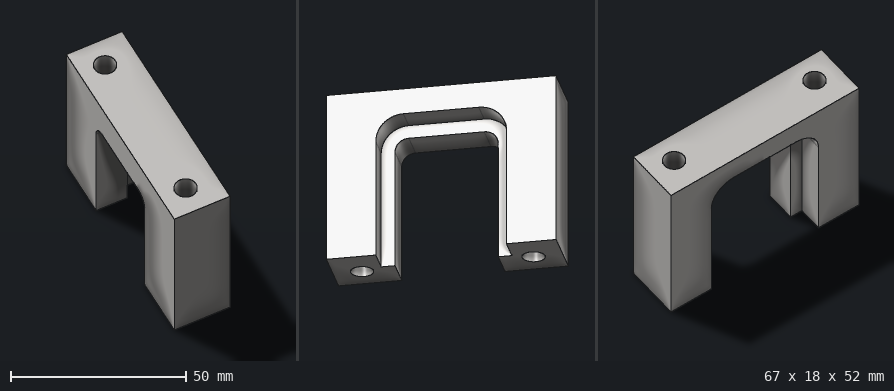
import cadquery as cq

width = 67.0
depth = 18.0
height = 52.0

opening_width = 30.0
bridge_thickness = 12.0
corner_radius = 4.0

rebate_margin = 4.0
rebate_depth = 8.0

hole_diameter = 6.6
hole_spacing = 50.0
hole_y = -0.95

opening_height = height - bridge_thickness


def arch_cutter(margin, y_start, y_end):
    """Open-bottomed arch, enlarged by margin, between two Y positions."""
    cutter_width = opening_width + 2 * margin
    cutter_height = opening_height + margin
    return (
        cq.Workplane("XY")
        .box(cutter_width, y_end - y_start, cutter_height, centered=(True, False, False))
        .translate((0, y_start, 0))
        .edges("|Y and >Z")
        .fillet(corner_radius + margin)
    )


block = cq.Workplane("XY").box(width, depth, height, centered=(True, True, False))
opening = arch_cutter(0, -depth / 2, depth / 2)
rebate = arch_cutter(rebate_margin, depth / 2 - rebate_depth, depth / 2)
bolt_holes = (
    cq.Workplane("XY")
    .pushPoints([(side * hole_spacing / 2, hole_y) for side in (-1, 1)])
    .circle(hole_diameter / 2)
    .extrude(height)
)

result = block.cut(opening).cut(rebate).cut(bolt_holes)